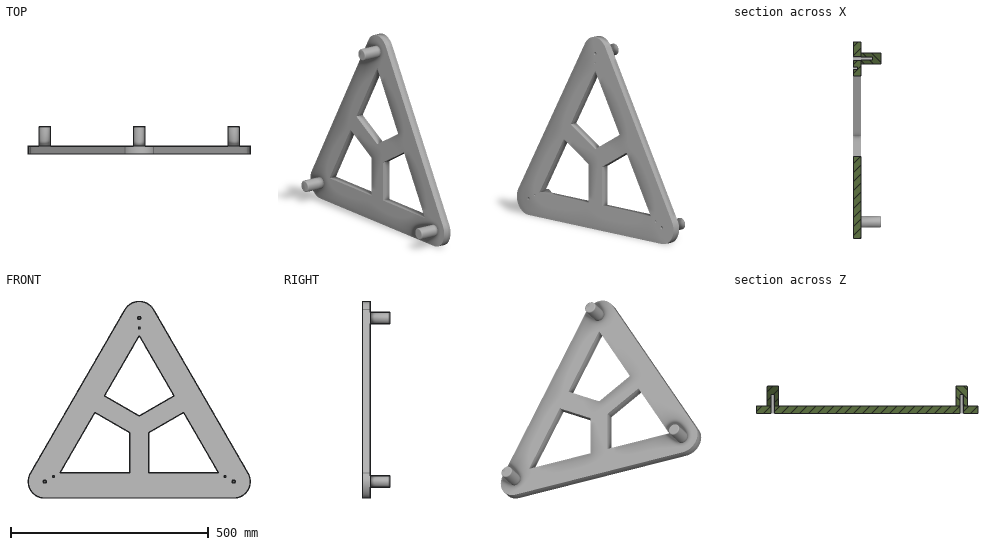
import cadquery as cq
import math

corner_spacing = 477.5
corner_radius = 42.0
plate_thickness = 20.0
rail_width = 64.5
spoke_width = 49.0

post_diameter = 30.0
post_length = 50.0
post_end_fillet = 3.0

screw_clearance_diameter = 8.5
post_bore_diameter = 7.0
post_bore_depth = 28.0
dowel_hole_diameter = 5.0
dowel_hole_depth = 10.0
dowel_hole_offset = 25.0

corner_distance = corner_spacing / math.sqrt(3)
outer_edge_distance = corner_distance / 2 + corner_radius
inner_edge_distance = outer_edge_distance - rail_width
dowel_hole_distance = corner_distance - dowel_hole_offset

corner_angles = [90, 210, 330]


def polar(distance, angle):
    """Point in the XZ plane at a distance and an angle in degrees from +X."""
    return (
        distance * math.cos(math.radians(angle)),
        distance * math.sin(math.radians(angle)),
    )


def plane_at(y):
    """XZ plane at the given y whose extrusions run toward +Y."""
    return cq.Workplane(cq.Plane(origin=(0, y, 0), xDir=(1, 0, 0), normal=(0, -1, 0)))


def disc(y, point, diameter, length):
    """Cylinder that runs from y toward +Y."""
    return plane_at(y).center(*point).circle(diameter / 2).extrude(-length)


def window(angle):
    """Kite-shaped opening between two spokes, pointing to the corner at the angle."""
    half_spoke = spoke_width / 2
    tip = polar(2 * inner_edge_distance, angle)
    spoke_crotch = polar(half_spoke / math.sin(math.radians(60)), angle)
    side_distance = math.hypot(inner_edge_distance, half_spoke)
    side_turn = 60 - math.degrees(math.atan2(half_spoke, inner_edge_distance))
    left_side = polar(side_distance, angle + side_turn)
    right_side = polar(side_distance, angle - side_turn)
    outline = plane_at(0).polyline([tip, left_side, spoke_crotch, right_side]).close()
    return outline.extrude(-plate_thickness)


def make_plate():
    corners = [polar(corner_distance, angle) for angle in corner_angles]
    triangle = plane_at(0).polyline(corners).close()
    plate = triangle.offset2D(corner_radius, "arc").extrude(-plate_thickness)
    for angle in corner_angles:
        plate = plate.cut(window(angle))
        screw_point = polar(corner_distance, angle)
        plate = plate.cut(disc(0, screw_point, screw_clearance_diameter, plate_thickness))
        dowel_point = polar(dowel_hole_distance, angle)
        plate = plate.cut(disc(0, dowel_point, dowel_hole_diameter, dowel_hole_depth))
    return plate


def make_post(angle):
    """Post with a rounded free end and a blind bore in line with the screw hole."""
    point = polar(corner_distance, angle)
    post = disc(plate_thickness, point, post_diameter, post_length)
    post = post.faces(">Y").edges().fillet(post_end_fillet)
    return post.cut(disc(plate_thickness, point, post_bore_diameter, post_bore_depth))


plate = make_plate()
posts = [make_post(angle) for angle in corner_angles]

result = cq.Compound.makeCompound([plate.val(), *[post.val() for post in posts]])